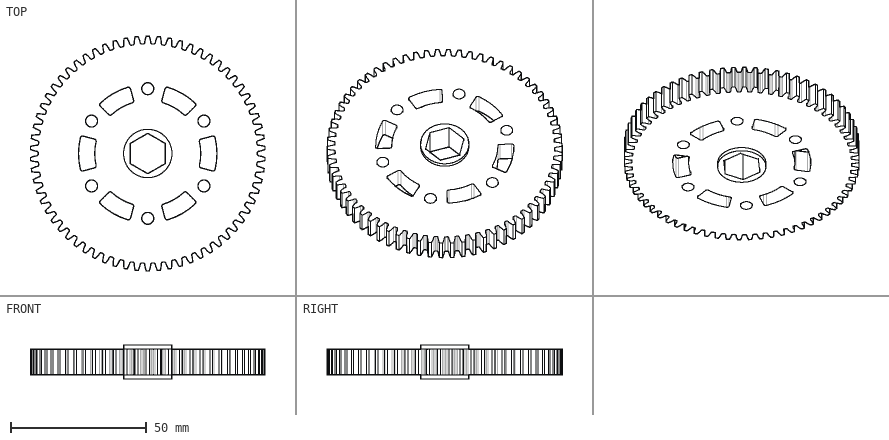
import cadquery as cq
import math


tooth_count = 66
outside_radius = 43.2
module = 2 * outside_radius / (tooth_count + 2)
pitch_radius = module * tooth_count / 2
dedendum = 1.25 * module
root_radius = pitch_radius - dedendum
pressure_angle = math.radians(14.5)
base_radius = pitch_radius * math.cos(pressure_angle)
backlash = 0.1
root_fillet = 0.5
flank_points = 5
cutter_overshoot = 0.3

gear_width = 9.5
hub_width = 12.6
hub_diameter = 17.8
hex_across_flats = 12.8

pattern_count = 6
hole_diameter = 4.3
hole_circle_radius = 23.8
slot_inner_radius = 19.5
slot_outer_radius = 25.4
slot_half_angle = 15.0
slot_corner_radius = 0.8


def polar(radius, angle):
    return (radius * math.cos(angle), radius * math.sin(angle))


def centred_plane(width):
    """Workplane from which an extrusion of this width straddles the XY plane evenly."""
    return cq.Workplane("XY", origin=(0, 0, -width / 2))


def disc(diameter, width):
    return centred_plane(width).circle(diameter / 2).extrude(width)


def involute(angle):
    return math.tan(angle) - angle


def gap_half_angle(radius):
    """Half the angle of a tooth gap at a radius: involute flanks, radial inside the base circle."""
    half_angle_at_pitch = math.pi / (2 * tooth_count) + backlash / (2 * pitch_radius)
    angle_at_radius = math.acos(min(1.0, base_radius / radius))
    return half_angle_at_pitch - involute(pressure_angle) + involute(angle_at_radius)


def tooth_gap():
    """Cutter for the gap centred on +X, with rounded root corners."""
    top_radius = outside_radius + cutter_overshoot
    radius_step = (top_radius - root_radius) / (flank_points - 1)
    radii = [root_radius + i * radius_step for i in range(flank_points)]
    upper_flank = [polar(r, gap_half_angle(r)) for r in radii]
    lower_flank = [(x, -y) for x, y in reversed(upper_flank)]
    return (
        centred_plane(gear_width)
        .moveTo(*upper_flank[0])
        .spline(upper_flank[1:], includeCurrent=True)
        .lineTo(*lower_flank[0])
        .spline(lower_flank[1:], includeCurrent=True)
        .threePointArc((root_radius, 0), upper_flank[0])
        .close()
        .extrude(gear_width)
        .faces("<X")
        .edges("|Z")
        .fillet(root_fillet)
    )


def arc_slot():
    """Cutter for the slot centred on +X, with radial ends and rounded corners."""
    half_angle = math.radians(slot_half_angle)
    return (
        centred_plane(gear_width)
        .moveTo(*polar(slot_inner_radius, -half_angle))
        .lineTo(*polar(slot_outer_radius, -half_angle))
        .threePointArc((slot_outer_radius, 0), polar(slot_outer_radius, half_angle))
        .lineTo(*polar(slot_inner_radius, half_angle))
        .threePointArc((slot_inner_radius, 0), polar(slot_inner_radius, -half_angle))
        .close()
        .extrude(gear_width)
        .edges("|Z")
        .fillet(slot_corner_radius)
    )


def round_hole():
    return disc(hole_diameter, gear_width).translate((hole_circle_radius, 0, 0))


def ring_of(cutter, count, start_angle=0):
    """Copies of a cutter equally spaced around Z; angles in degrees."""
    shape = cutter.val()
    axis_start = cq.Vector(0, 0, 0)
    axis_end = cq.Vector(0, 0, 1)
    angles = [start_angle + i * 360 / count for i in range(count)]
    return cq.Compound.makeCompound([shape.rotate(axis_start, axis_end, a) for a in angles])


def hex_bore():
    """Hexagon with corners on +Y and -Y."""
    across_corners = hex_across_flats / math.cos(math.pi / 6)
    return (
        centred_plane(hub_width)
        .transformed(rotate=(0, 0, 90))
        .polygon(6, across_corners)
        .extrude(hub_width)
    )


gear = disc(2 * outside_radius, gear_width)
gear = gear.cut(cq.Workplane(ring_of(tooth_gap(), tooth_count)))
gear = gear.cut(cq.Workplane(ring_of(arc_slot(), pattern_count)))
gear = gear.cut(cq.Workplane(ring_of(round_hole(), pattern_count, 180 / pattern_count)))

result = gear.union(disc(hub_diameter, hub_width)).cut(hex_bore())